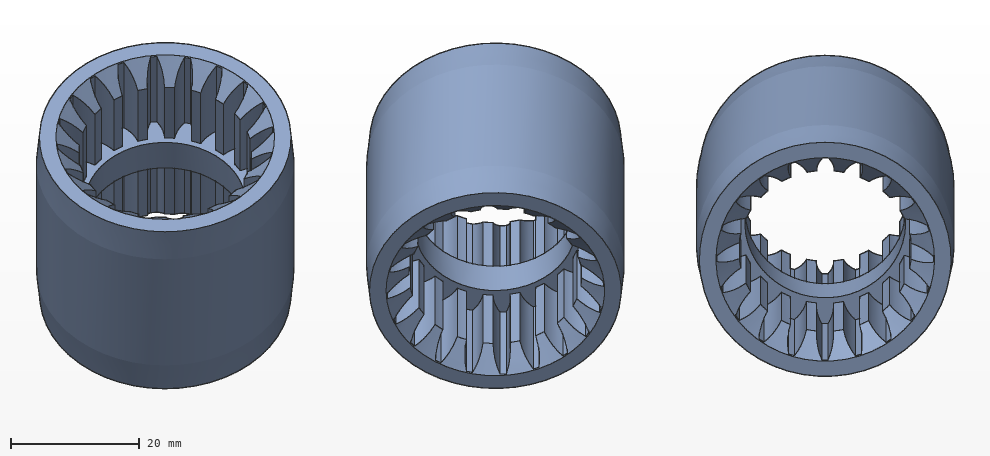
import cadquery as cq
import math

LENGTH = 37.0
OUTER_RADIUS = 20.0
END_RADIUS = 19.5
TAPER_LENGTH = 6.0

BORE_RADIUS = 12.5
WEB_LENGTH = 6.0
SOCKET_DEPTH = (LENGTH - WEB_LENGTH) / 2

TOOTH_COUNT = 20
TIP_RADIUS = 13.4
ROOT_RADIUS = 16.8
MOUTH_HALF_WIDTH = 1.3
FLANK_RADIUS = 15.4
FLANK_HALF_WIDTH = 1.1
ROOT_HALF_WIDTH = 0.5

LEAD_IN_RADIUS = 16.95
LEAD_IN_DEPTH = LEAD_IN_RADIUS - TIP_RADIUS


def make_body():
    """Revolve the tapered wall around Z, with the sleeve centred on the origin."""
    half_length = LENGTH / 2
    taper_start = half_length - TAPER_LENGTH
    profile = (
        cq.Workplane("XZ")
        .moveTo(BORE_RADIUS, -half_length)
        .lineTo(END_RADIUS, -half_length)
        .lineTo(OUTER_RADIUS, -taper_start)
        .lineTo(OUTER_RADIUS, taper_start)
        .lineTo(END_RADIUS, half_length)
        .lineTo(BORE_RADIUS, half_length)
        .close()
    )
    return profile.revolve(360, (0, 0, 0), (0, 1, 0))


def make_groove(floor_z):
    """One arched groove along +X, running from the socket floor to the end face."""
    inner_x = BORE_RADIUS
    tip_x = math.sqrt(TIP_RADIUS**2 - MOUTH_HALF_WIDTH**2)
    return (
        cq.Workplane("XY", origin=(0, 0, floor_z))
        .moveTo(inner_x, -MOUTH_HALF_WIDTH)
        .lineTo(tip_x, -MOUTH_HALF_WIDTH)
        .threePointArc((FLANK_RADIUS, -FLANK_HALF_WIDTH), (ROOT_RADIUS, -ROOT_HALF_WIDTH))
        .lineTo(ROOT_RADIUS, ROOT_HALF_WIDTH)
        .threePointArc((FLANK_RADIUS, FLANK_HALF_WIDTH), (tip_x, MOUTH_HALF_WIDTH))
        .lineTo(inner_x, MOUTH_HALF_WIDTH)
        .close()
        .extrude(SOCKET_DEPTH)
    )


def make_socket():
    """Material removed at the upper end: tip bore, conical lead-in and grooves."""
    top_z = LENGTH / 2
    floor_z = top_z - SOCKET_DEPTH
    socket = (
        cq.Workplane("XZ")
        .moveTo(0, floor_z)
        .lineTo(TIP_RADIUS, floor_z)
        .lineTo(TIP_RADIUS, top_z - LEAD_IN_DEPTH)
        .lineTo(LEAD_IN_RADIUS, top_z)
        .lineTo(0, top_z)
        .close()
        .revolve(360, (0, 0, 0), (0, 1, 0))
    )
    groove = make_groove(floor_z)
    for index in range(TOOTH_COUNT):
        angle = index * 360 / TOOTH_COUNT
        socket = socket.union(groove.rotate((0, 0, 0), (0, 0, 1), angle))
    return socket


upper_socket = make_socket()
lower_socket = upper_socket.mirror("XY")
result = make_body().cut(upper_socket).cut(lower_socket)